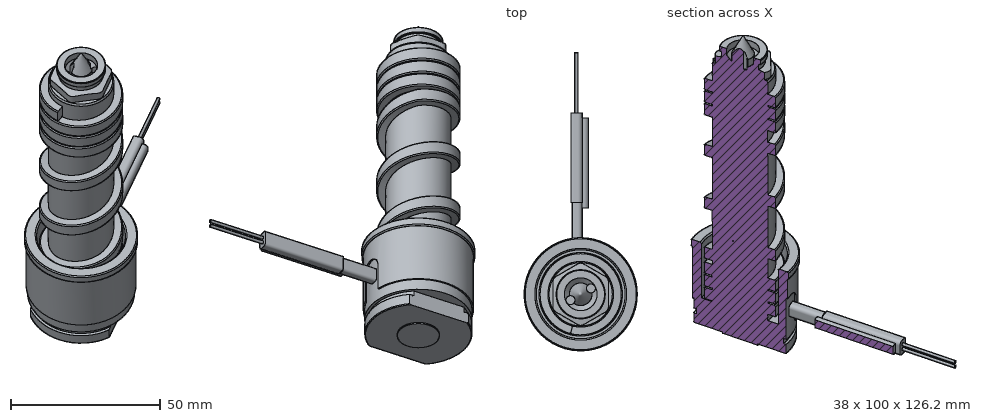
import cadquery as cq
import math

DISC_RADIUS = 7.1
BASE_Z = 0.5
BASE_RADIUS = 18.0
BASE_CHAMFER = 0.3
GROOVE_RADIUS = 17.0
GROOVE_BOTTOM_Z = 4.6
FLATS_TOP_Z = 6.5
ACROSS_FLATS = 28.0
SHELL_BOTTOM_Z = 10.5
SHELL_RADIUS = 18.5
RIM_BOTTOM_Z = 32.0
RIM_TOP_Z = 35.2
RIM_RADIUS = 19.0
RIM_CHAMFER = 0.4
BORE_RADIUS = 14.9
BORE_CHAMFER = 0.5
FLOOR_Z = 12.0
SLOT_HALF_WIDTH = 4.3
SLOT_CENTRE_Z = 20.0

SHAFT_RADIUS = 11.0
SHAFT_TOP_Z = 112.4
SHAFT_CHAMFER_HEIGHT = 0.7
SHAFT_CHAMFER_WIDTH = 0.4
HEX_SIDES = 6
HEX_ACROSS_FLATS = 18.6
HEX_CORNER_FILLET = 2.1
HEX_BEVEL_Z = 115.3
NECK_RADIUS = 7.6
NECK_BOTTOM_Z = 115.9
NECK_TOP_Z = 118.0
HEAD_RADIUS = 8.25
HEAD_TOP_Z = 120.2
HEAD_CHAMFER = 0.25
MOUTH_RADIUS = 5.5
FUNNEL_TOP_Z = 117.5
FUNNEL_BOTTOM_Z = 115.5
TIP_Z = 126.2
TIP_SLOPE = 0.5
TIP_BASE_RADIUS = 3.8
FEED_HOLE_RADIUS = 1.5
FEED_HOLE_OFFSET = 3.95
FEED_HOLE_ANGLE = 30.0
FEED_HOLE_BOTTOM_Z = 114.0

COIL_RADIUS = 14.0
COIL_EMBED = 0.2
COIL_ROOT_RADIUS = SHAFT_RADIUS - COIL_EMBED
COIL_HEIGHT = 4.9
COIL_CHAMFER = 0.4
TIGHT_PITCH = 5.3
UPPER_EASING_PITCH = 9.0
LOWER_EASING_PITCH = 14.0
LOOSE_PITCH = 22.1
EASING_ANGLE = 90.0
UPPER_TIGHT_START = 240.0
UPPER_TIGHT_END = 3 * 360 + 255.5
UPPER_TIGHT_START_Z = 90.95
LOOSE_START = -2 * 360 - 33.0
LOWER_TIGHT_TURNS = 3

CABLE_Z = 17.3
CABLE_START_Y = 16.5
CABLE_X = (-2.9, 0.6)
CABLE_HEIGHT = 5.2
SLEEVE_X = (-3.3, 0.6)
SLEEVE_HEIGHT = 5.9
SLEEVE_Y = (30.7, 60.8)
CABLE_FILLETS = (0.9, 1.4)
BAR_X = (-0.6, 2.7)
BAR_HEIGHT = 4.0
BAR_Y = (28.9, 59.1)
BAR_FILLET = 1.5
WIRE_X = -1.45
WIRE_DIAMETER = 1.1
WIRE_SPACING = 1.9
WIRE_END_Y = 81.0
WIRE_OVERLAP = 1.0


def disc(radius, z_bottom, z_top):
    """Solid cylinder on the Z axis between two levels."""
    return cq.Workplane("XY").workplane(offset=z_bottom).circle(radius).extrude(z_top - z_bottom)


def make_base():
    base = disc(BASE_RADIUS, BASE_Z, GROOVE_BOTTOM_Z).faces("<Z").edges().chamfer(BASE_CHAMFER)
    base = base.union(disc(GROOVE_RADIUS, GROOVE_BOTTOM_Z, FLATS_TOP_Z))
    between_flats = cq.Workplane("XY").box(
        ACROSS_FLATS, 2 * BASE_RADIUS, FLATS_TOP_Z, centered=(True, True, False)
    )
    return base.intersect(between_flats).union(disc(DISC_RADIUS, 0, BASE_Z))


def make_shell():
    """Outer shell and rim, with an arched slot over the cable on the +Y side."""
    shell = disc(SHELL_RADIUS, SHELL_BOTTOM_Z, RIM_BOTTOM_Z)
    rim = disc(RIM_RADIUS, RIM_BOTTOM_Z, RIM_TOP_Z).edges().chamfer(RIM_CHAMFER)
    slot = (
        cq.Workplane("XZ")
        .moveTo(-SLOT_HALF_WIDTH, SHELL_BOTTOM_Z)
        .lineTo(SLOT_HALF_WIDTH, SHELL_BOTTOM_Z)
        .lineTo(SLOT_HALF_WIDTH, SLOT_CENTRE_Z)
        .threePointArc((0, SLOT_CENTRE_Z + SLOT_HALF_WIDTH), (-SLOT_HALF_WIDTH, SLOT_CENTRE_Z))
        .close()
        .extrude(-SHELL_RADIUS)
    )
    return shell.cut(slot).union(rim)


def make_cup():
    inner_wall = disc(BASE_RADIUS, FLATS_TOP_Z, RIM_BOTTOM_Z)
    cup = make_base().union(inner_wall).union(make_shell())
    bore_profile = [
        (0, FLOOR_Z),
        (BORE_RADIUS, FLOOR_Z),
        (BORE_RADIUS, RIM_TOP_Z - BORE_CHAMFER),
        (BORE_RADIUS + BORE_CHAMFER, RIM_TOP_Z),
        (0, RIM_TOP_Z),
    ]
    return cup.cut(cq.Workplane("XZ").polyline(bore_profile).close().revolve())


def make_hexagon():
    """Nut with flats facing +X and -X, rounded corners and a slightly conical top."""
    across_corners = HEX_ACROSS_FLATS / math.cos(math.pi / HEX_SIDES)
    nut = (
        cq.Workplane("XY")
        .workplane(offset=SHAFT_TOP_Z)
        .polygon(HEX_SIDES, across_corners)
        .extrude(NECK_BOTTOM_Z - SHAFT_TOP_Z)
        .rotate((0, 0, 0), (0, 0, 1), 180 / HEX_SIDES)
        .edges("|Z")
        .fillet(HEX_CORNER_FILLET)
    )
    envelope_profile = [
        (0, SHAFT_TOP_Z),
        (across_corners / 2, SHAFT_TOP_Z),
        (across_corners / 2, HEX_BEVEL_Z),
        (NECK_RADIUS, NECK_BOTTOM_Z),
        (0, NECK_BOTTOM_Z),
    ]
    return nut.intersect(cq.Workplane("XZ").polyline(envelope_profile).close().revolve())


def make_nozzle_head():
    neck = disc(NECK_RADIUS, NECK_BOTTOM_Z, NECK_TOP_Z)
    head = disc(HEAD_RADIUS, NECK_TOP_Z, HEAD_TOP_Z).edges().chamfer(HEAD_CHAMFER)
    return neck.union(head)


def make_mouth():
    """Void in the top of the nozzle: a round mouth and, under it, a funnel around the tip."""
    mouth_profile = [
        (0, FUNNEL_BOTTOM_Z),
        (TIP_BASE_RADIUS, FUNNEL_BOTTOM_Z),
        (MOUTH_RADIUS, FUNNEL_TOP_Z),
        (MOUTH_RADIUS, HEAD_TOP_Z),
        (0, HEAD_TOP_Z),
    ]
    return cq.Workplane("XZ").polyline(mouth_profile).close().revolve()


def make_tip():
    """Pointed tip, with the cylinder it stands on."""
    cone_base_z = TIP_Z - TIP_BASE_RADIUS / TIP_SLOPE
    tip_profile = [
        (0, FUNNEL_BOTTOM_Z),
        (TIP_BASE_RADIUS, FUNNEL_BOTTOM_Z),
        (TIP_BASE_RADIUS, cone_base_z),
        (0, TIP_Z),
    ]
    return cq.Workplane("XZ").polyline(tip_profile).close().revolve()


def make_feed_holes():
    return (
        cq.Workplane("XY")
        .workplane(offset=FEED_HOLE_BOTTOM_Z)
        .polarArray(FEED_HOLE_OFFSET, FEED_HOLE_ANGLE, 360, 2)
        .circle(FEED_HOLE_RADIUS)
        .extrude(TIP_Z - FEED_HOLE_BOTTOM_Z)
    )


def coil_piece(start_angle, end_angle, start_z, pitch):
    """Helical strip piece from start_angle to end_angle (degrees), climbing from start_z."""
    climb = pitch * (end_angle - start_angle) / 360
    path = cq.Workplane(cq.Wire.makeHelix(pitch, climb, COIL_RADIUS))
    half_height = COIL_HEIGHT / 2
    section = [
        (COIL_ROOT_RADIUS, -half_height),
        (COIL_RADIUS - COIL_CHAMFER, -half_height),
        (COIL_RADIUS, COIL_CHAMFER - half_height),
        (COIL_RADIUS, half_height - COIL_CHAMFER),
        (COIL_RADIUS - COIL_CHAMFER, half_height),
        (COIL_ROOT_RADIUS, half_height),
    ]
    strip = cq.Workplane("XZ").polyline(section).close().sweep(path, isFrenet=True)
    return strip.rotate((0, 0, 0), (0, 0, 1), start_angle).translate((0, 0, start_z))


def make_coil_runs():
    """Tight turns at both ends, easing into open turns between them, listed from the top down."""
    loose_end = UPPER_TIGHT_START - EASING_ANGLE
    lower_tight_end = LOOSE_START - EASING_ANGLE
    lower_tight_start = lower_tight_end - LOWER_TIGHT_TURNS * 360
    runs = [
        (UPPER_TIGHT_START, UPPER_TIGHT_END, TIGHT_PITCH),
        (loose_end, UPPER_TIGHT_START, UPPER_EASING_PITCH),
        (LOOSE_START, loose_end, LOOSE_PITCH),
        (lower_tight_end, LOOSE_START, LOWER_EASING_PITCH),
        (lower_tight_start, lower_tight_end, TIGHT_PITCH),
    ]
    pieces = []
    top_angle, top_end_angle, top_pitch = runs[0]
    end_z = UPPER_TIGHT_START_Z + top_pitch * (top_end_angle - top_angle) / 360
    for start_angle, end_angle, pitch in runs:
        start_z = end_z - pitch * (end_angle - start_angle) / 360
        pieces.append(coil_piece(start_angle, end_angle, start_z, pitch))
        end_z = start_z
    return pieces


def rounded_bar(x_range, y_range, height, fillets):
    """Bar along Y, centred on the cable level, with its -X and +X long edges rounded."""
    bar = cq.Workplane("XY").box(
        x_range[1] - x_range[0], y_range[1] - y_range[0], height, centered=(False, False, True)
    )
    bar = bar.faces("<X").edges("|Y").fillet(fillets[0])
    bar = bar.edges("|Y and >X").fillet(fillets[1])
    return bar.translate((x_range[0], y_range[0], CABLE_Z))


def make_cable():
    cable = rounded_bar(CABLE_X, (CABLE_START_Y, SLEEVE_Y[0]), CABLE_HEIGHT, CABLE_FILLETS)
    cable = cable.union(rounded_bar(SLEEVE_X, SLEEVE_Y, SLEEVE_HEIGHT, CABLE_FILLETS))
    cable = cable.union(rounded_bar(BAR_X, BAR_Y, BAR_HEIGHT, (BAR_FILLET, BAR_FILLET)))
    wire_start_y = SLEEVE_Y[1] - WIRE_OVERLAP
    for side in (-1, 1):
        wire = (
            cq.Workplane("XZ", origin=(WIRE_X, wire_start_y, CABLE_Z + side * WIRE_SPACING / 2))
            .circle(WIRE_DIAMETER / 2)
            .extrude(wire_start_y - WIRE_END_Y)
        )
        cable = cable.union(wire)
    return cable


def make_shaft():
    shaft = disc(SHAFT_RADIUS, FLOOR_Z, SHAFT_TOP_Z)
    shaft = shaft.faces(">Z").chamfer(SHAFT_CHAMFER_HEIGHT, SHAFT_CHAMFER_WIDTH)
    for coil_run in make_coil_runs():
        shaft = shaft.union(coil_run)
    return shaft


def make_nozzle():
    body = make_hexagon().union(make_nozzle_head()).cut(make_mouth())
    return body.union(make_tip()).cut(make_feed_holes())


result = make_cup().union(make_shaft()).union(make_nozzle()).union(make_cable())